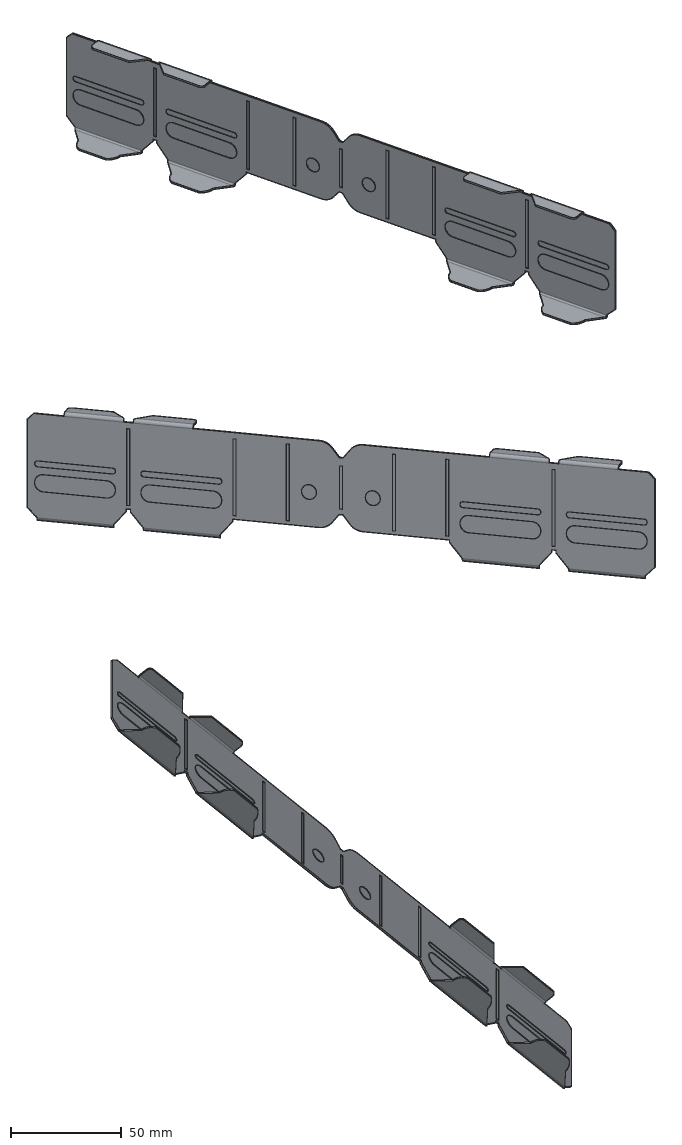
import cadquery as cq
import math

LENGTH = 295.0
DEPTH = 14.28
HEIGHT = 52.9
THICKNESS = 0.9
EMBOSS = 0.28
BEND_INNER = 0.8
BEND_OUTER = BEND_INNER + THICKNESS

BACK = DEPTH / 2 - EMBOSS
FRONT = BACK - THICKNESS
TOP_BEND = HEIGHT / 2 - BEND_OUTER
BOTTOM_BEND = -HEIGHT / 2 + BEND_OUTER
PLATE_HEIGHT = 41.3
BOTTOM_EDGE = TOP_BEND - PLATE_HEIGHT

PITCH = 50.0
JOINT = 2 * PITCH
INNER_PANEL = JOINT - PITCH / 2
OUTER_PANEL = JOINT + PITCH / 2
JOINT_NOTCH_HALF = 1.0
BOTTOM_TAB_ROOT_HALF = 18.0
INNER_PANEL_EDGE = PITCH + JOINT_NOTCH_HALF
END_TOP_CHAMFER = 3.0
END_BOTTOM_CHAMFER = LENGTH / 2 - OUTER_PANEL - BOTTOM_TAB_ROOT_HALF
TAB_CORNER_HEIGHT = 7.0

WAIST_HALF_WIDTH = 0.9
WAIST_DEPTH = 7.1
SHOULDER_START = 10.4
SHOULDER_RADIUS = 8.0
SHOULDER_ANGLE = math.radians(50)

BOTTOM_TAB_WAIST_HALF = 11.2
BOTTOM_TAB_TIP_HALF = 7.3
BOTTOM_TAB_WAIST = -1.4
BOTTOM_TAB_TIP = -DEPTH / 2
BOTTOM_TAB_RADIUS = 7.0

TOP_TAB_NEAR_ROOT = 2.3
TOP_TAB_NEAR_TIP = 9.3
TOP_TAB_FAR = 30.3
TOP_TAB_TIP = -1.0
TOP_TAB_RADIUS = 2.0

SLOT_LENGTH = 38.0
WIDE_SLOT_HEIGHT = 8.2
WIDE_SLOT_Z = -8.0
THIN_SLOT_HEIGHT = 2.8
THIN_SLOT_Z = 1.0
DIMPLE_DIAMETER = 7.0
DIMPLE_X = 15.0
RIB_WIDTH = 1.4
RIB_LENGTH = 36.5
RIB_MIDDLE = 3.6
RIB_POSITIONS = (PITCH / 2, PITCH, JOINT)
WAIST_RIB_LENGTH = 20.5


def on_plate(y):
    """Upright workplane at the given Y; it extrudes toward -Y."""
    return cq.Workplane("XZ", origin=(0, y, 0))


def both_halves(positions):
    """The positions together with their mirror images in X."""
    return [side * x for side in (-1, 1) for x in positions]


def shoulder_point(angle):
    """X of the shoulder arc, and its drop from the plate edge, after turning by an angle."""
    x = SHOULDER_START - SHOULDER_RADIUS * math.sin(angle)
    drop = SHOULDER_RADIUS * (1 - math.cos(angle))
    return x, drop


def half_plate():
    """Flat +X half of the strip, down to the bottom bend line."""
    end = LENGTH / 2
    inner_left = INNER_PANEL - BOTTOM_TAB_ROOT_HALF
    inner_right = INNER_PANEL + BOTTOM_TAB_ROOT_HALF
    outer_left = OUTER_PANEL - BOTTOM_TAB_ROOT_HALF
    outer_right = OUTER_PANEL + BOTTOM_TAB_ROOT_HALF
    notch_left = JOINT - JOINT_NOTCH_HALF
    notch_right = JOINT + JOINT_NOTCH_HALF
    tab_corner_top = BOTTOM_BEND + TAB_CORNER_HEIGHT
    mid_x, mid_drop = shoulder_point(SHOULDER_ANGLE / 2)
    low_x, low_drop = shoulder_point(SHOULDER_ANGLE)
    return (
        on_plate(BACK)
        .moveTo(0, TOP_BEND - WAIST_DEPTH)
        .lineTo(WAIST_HALF_WIDTH, TOP_BEND - WAIST_DEPTH)
        .lineTo(low_x, TOP_BEND - low_drop)
        .threePointArc((mid_x, TOP_BEND - mid_drop), (SHOULDER_START, TOP_BEND))
        .lineTo(end - END_TOP_CHAMFER, TOP_BEND)
        .lineTo(end, TOP_BEND - END_TOP_CHAMFER)
        .lineTo(end, BOTTOM_BEND + END_BOTTOM_CHAMFER)
        .lineTo(outer_right, BOTTOM_BEND)
        .lineTo(outer_left, BOTTOM_BEND)
        .lineTo(notch_right, tab_corner_top)
        .lineTo(notch_right, BOTTOM_EDGE)
        .lineTo(notch_left, BOTTOM_EDGE)
        .lineTo(notch_left, tab_corner_top)
        .lineTo(inner_right, BOTTOM_BEND)
        .lineTo(inner_left, BOTTOM_BEND)
        .lineTo(INNER_PANEL_EDGE, tab_corner_top)
        .lineTo(INNER_PANEL_EDGE, BOTTOM_EDGE)
        .lineTo(SHOULDER_START, BOTTOM_EDGE)
        .threePointArc((mid_x, BOTTOM_EDGE + mid_drop), (low_x, BOTTOM_EDGE + low_drop))
        .lineTo(WAIST_HALF_WIDTH, BOTTOM_EDGE + WAIST_DEPTH)
        .lineTo(0, BOTTOM_EDGE + WAIST_DEPTH)
        .close()
        .extrude(THICKNESS)
    )


def bent_flange(tip, up):
    """Bend and flange along the whole strip, reaching to Y = tip; up is 1 at the top, -1 below."""
    edge = up * HEIGHT / 2
    bend_start = edge - up * BEND_OUTER
    inside = edge - up * THICKNESS
    bend_y = BACK - BEND_OUTER
    outer_mid = BEND_OUTER * math.sqrt(0.5)
    inner_mid = BEND_INNER * math.sqrt(0.5)
    return (
        cq.Workplane("YZ", origin=(-LENGTH / 2, 0, 0))
        .moveTo(BACK, bend_start)
        .threePointArc((bend_y + outer_mid, bend_start + up * outer_mid), (bend_y, edge))
        .lineTo(tip, edge)
        .lineTo(tip, inside)
        .lineTo(bend_y, inside)
        .threePointArc((bend_y + inner_mid, bend_start + up * inner_mid), (FRONT, bend_start))
        .close()
        .extrude(LENGTH)
    )


def tab_prism(outline):
    """Upright prism over a tab outline, spanning the full height."""
    return outline.close().extrude(HEIGHT)


def bottom_tab_outline(centre):
    """Slanted shoulders narrowing to a tab with two arced corners."""
    return tab_prism(
        cq.Workplane("XY", origin=(centre, 0, -HEIGHT / 2))
        .moveTo(-BOTTOM_TAB_ROOT_HALF, BACK)
        .lineTo(-BOTTOM_TAB_ROOT_HALF, FRONT)
        .lineTo(-BOTTOM_TAB_WAIST_HALF, BOTTOM_TAB_WAIST)
        .radiusArc((-BOTTOM_TAB_TIP_HALF, BOTTOM_TAB_TIP), -BOTTOM_TAB_RADIUS)
        .lineTo(BOTTOM_TAB_TIP_HALF, BOTTOM_TAB_TIP)
        .radiusArc((BOTTOM_TAB_WAIST_HALF, BOTTOM_TAB_WAIST), -BOTTOM_TAB_RADIUS)
        .lineTo(BOTTOM_TAB_ROOT_HALF, FRONT)
        .lineTo(BOTTOM_TAB_ROOT_HALF, BACK)
    )


def top_tab_outline(joint, side):
    """Tab beside a joint, slanted toward the joint and rounded at its far corner."""
    far = side * TOP_TAB_FAR
    round_start = side * (TOP_TAB_FAR - TOP_TAB_RADIUS)
    round_mid = TOP_TAB_RADIUS * (1 - math.sqrt(0.5))
    return tab_prism(
        cq.Workplane("XY", origin=(joint, 0, -HEIGHT / 2))
        .moveTo(side * TOP_TAB_NEAR_ROOT, BACK)
        .lineTo(side * TOP_TAB_NEAR_ROOT, FRONT)
        .lineTo(side * TOP_TAB_NEAR_TIP, TOP_TAB_TIP)
        .lineTo(round_start, TOP_TAB_TIP)
        .threePointArc(
            (far - side * round_mid, TOP_TAB_TIP + round_mid),
            (far, TOP_TAB_TIP + TOP_TAB_RADIUS),
        )
        .lineTo(far, BACK)
    )


def emboss(body, sketch):
    """Press a shape toward +Y: sketch(workplane) is recessed in front and raised behind."""
    raised = sketch(on_plate(BACK + EMBOSS)).extrude(EMBOSS)
    recess = sketch(on_plate(FRONT + EMBOSS)).extrude(EMBOSS)
    return body.union(raised).cut(recess)


def add_tabs(body):
    bottom_flange = bent_flange(BOTTOM_TAB_TIP, -1)
    for centre in both_halves((INNER_PANEL, OUTER_PANEL)):
        body = body.union(bottom_flange.intersect(bottom_tab_outline(centre)))
    top_flange = bent_flange(TOP_TAB_TIP, 1)
    for joint in both_halves((JOINT,)):
        for side in (-1, 1):
            body = body.union(top_flange.intersect(top_tab_outline(joint, side)))
    return body


def add_slots(body):
    centres = both_halves((INNER_PANEL, OUTER_PANEL))
    for z, height in ((WIDE_SLOT_Z, WIDE_SLOT_HEIGHT), (THIN_SLOT_Z, THIN_SLOT_HEIGHT)):
        points = [(x, z) for x in centres]
        body = emboss(body, lambda plane: plane.pushPoints(points).slot2D(SLOT_LENGTH, height))
    return body


def add_dimples(body):
    points = [(x, 0) for x in both_halves((DIMPLE_X,))]
    return emboss(body, lambda plane: plane.pushPoints(points).circle(DIMPLE_DIAMETER / 2))


def add_ribs(body):
    points = [(x, RIB_MIDDLE) for x in both_halves(RIB_POSITIONS)]
    body = emboss(body, lambda plane: plane.pushPoints(points).rect(RIB_WIDTH, RIB_LENGTH))
    waist = [(0, RIB_MIDDLE)]
    return emboss(body, lambda plane: plane.pushPoints(waist).rect(RIB_WIDTH, WAIST_RIB_LENGTH))


half = half_plate()
plate = half.union(half.mirror("YZ"))
result = add_ribs(add_dimples(add_slots(add_tabs(plate))))